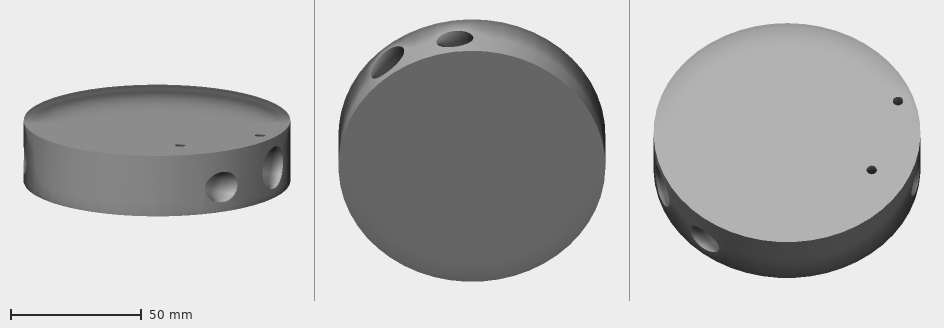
import cadquery as cq

disk_diameter = 102.0
disk_height = 24.0

main_bore_diameter = 16.5
main_bore_y = 0.0
main_bore_z = disk_height / 2
side_bore_diameter = 12.0
side_bore_y = -27.0
side_bore_z = 9.8

pin_diameter = 4.0
main_pin_x = 44.9
side_pin_x = 24.9


def cross_bore(diameter, y, z):
    """Cylinder along X that spans the whole disk."""
    return (
        cq.Workplane("YZ")
        .center(y, z)
        .circle(diameter / 2)
        .extrude(disk_diameter / 2, both=True)
    )


def pin_hole(x, y, bore_z):
    """Vertical cylinder from the top face down to a bore axis."""
    return (
        cq.Workplane("XY", origin=(x, y, bore_z))
        .circle(pin_diameter / 2)
        .extrude(disk_height - bore_z)
    )


result = cq.Workplane("XY").circle(disk_diameter / 2).extrude(disk_height)

bores = (
    (main_bore_diameter, main_bore_y, main_bore_z, main_pin_x),
    (side_bore_diameter, side_bore_y, side_bore_z, side_pin_x),
)
for bore_diameter, bore_y, bore_z, pin_x in bores:
    result = result.cut(cross_bore(bore_diameter, bore_y, bore_z))
    result = result.cut(pin_hole(pin_x, bore_y, bore_z))